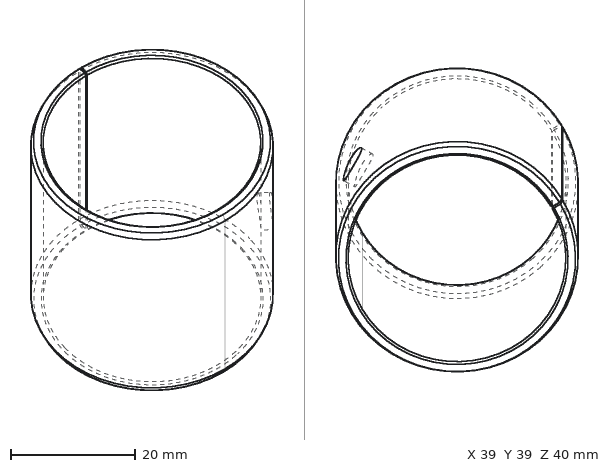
import cadquery as cq
import math

length = 40.0
outer_diameter = 39.0
wall = 2.0
outer_radius = outer_diameter / 2
inner_radius = outer_radius - wall

outer_chamfer_height = 1.2
outer_chamfer_angle = 20.0
outer_chamfer_depth = outer_chamfer_height * math.tan(math.radians(outer_chamfer_angle))
inner_chamfer = 0.35

slit_width = 0.3

oil_hole_diameter = 6.0
oil_hole_angle = 59.0


def bushing_wall():
    """Revolve the chamfered wall section around Z."""
    half = length / 2
    section = [
        (inner_radius, -half + inner_chamfer),
        (inner_radius + inner_chamfer, -half),
        (outer_radius - outer_chamfer_depth, -half),
        (outer_radius, -half + outer_chamfer_height),
        (outer_radius, half - outer_chamfer_height),
        (outer_radius - outer_chamfer_depth, half),
        (inner_radius + inner_chamfer, half),
        (inner_radius, half - inner_chamfer),
    ]
    return cq.Workplane("XZ").polyline(section).close().revolve(360, (0, 0, 0), (0, 1, 0))


def joint_slit():
    """Box that cuts the wall open along its full length on the -X side."""
    return cq.Workplane("XY").box(outer_radius, slit_width, length).translate((-outer_radius, 0, 0))


def oil_hole():
    """Radial cylinder from the axis outwards through one side of the wall."""
    along_x = cq.Workplane("YZ").circle(oil_hole_diameter / 2).extrude(outer_diameter)
    return along_x.rotate((0, 0, 0), (0, 0, 1), oil_hole_angle)


result = bushing_wall().cut(joint_slit()).cut(oil_hole())